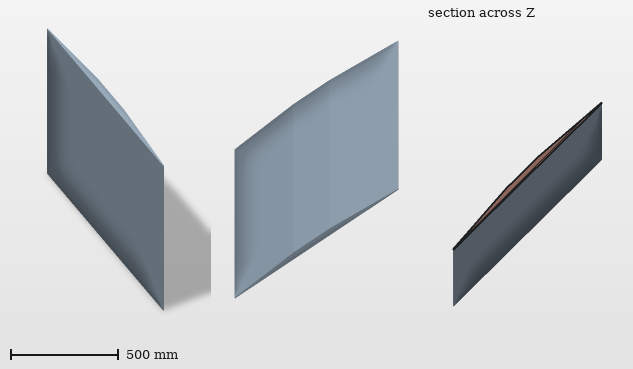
import math

import cadquery as cq

width = 1080.0
height = 920.0

edge_thickness = 5.0
crown_width = 240.0
taper_angle = 4.1

half_width = width / 2
half_crown = crown_width / 2
taper_run = half_width - half_crown
depth = edge_thickness + taper_run * math.tan(math.radians(taper_angle))

profile = [
    (-half_width, 0),
    (half_width, 0),
    (half_width, edge_thickness),
    (half_crown, depth),
    (-half_crown, depth),
    (-half_width, edge_thickness),
]

result = cq.Workplane("XY").polyline(profile).close().extrude(height)